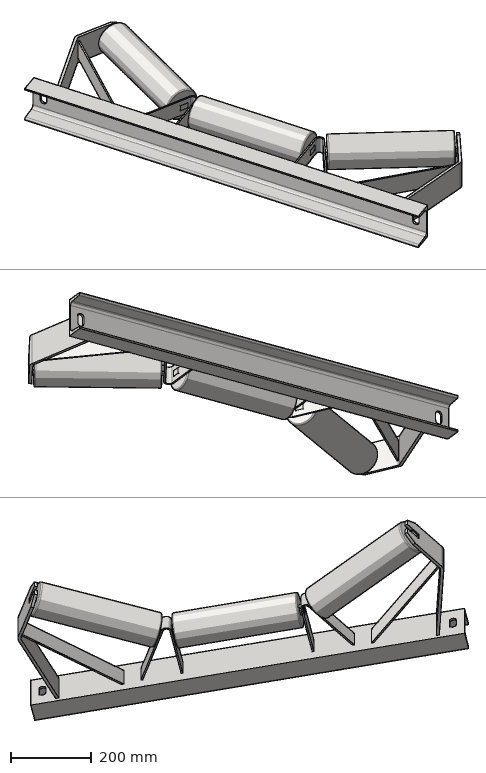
import cadquery as cq
import math


channel_length = 1100.0
channel_height = 100.0
flange_width = 50.0
web_thickness = 6.0
flange_thickness = 8.5
flange_taper = 0.08
root_radius = 8.5
toe_radius = 4.5
slot_offset = 30.0
slot_width = 18.0
slot_length = 35.0

roller_diameter = 89.0
roller_half_length = 158.0
roller_edge_radius = 3.0
shaft_radius = 13.0
tongue_width = 16.0
tongue_height = 22.0
seat_distance = 164.0
roller_axis_height = 118.0
wing_angle = 30.0
wing_center_x = 340.0
wing_center_y = 208.0

inner_width = 46.0
outer_width = 80.0
inner_thickness = 4.0
inner_bend_radius = 13.0
outer_thickness = 8.0
outer_bend_radius = 16.0
outer_leg_angle = 15.0
outer_bend_drop = 105.0
outer_tip_rise = 32.0
tip_chamfer_width = 15.0
tip_chamfer_length = 30.0
strut_thickness = 4.0
strut_width = 55.0
strut_foot_x = 317.0
strut_rise = 8.0

shaft_half_length = seat_distance + inner_thickness


def wing_point(along, across):
    """Point beside the right wing roller: `along` its axis outward, `across` it upward."""
    tilt = math.radians(wing_angle)
    x = wing_center_x + along * math.cos(tilt) - across * math.sin(tilt)
    y = wing_center_y + along * math.sin(tilt) + across * math.cos(tilt)
    return (x, y)


def on_wing(shape):
    """Move a shape from the origin, with its axis along X, onto the right wing roller's axis."""
    turned = shape.rotate((0, 0, 0), (0, 0, 1), wing_angle)
    return turned.translate((wing_center_x, wing_center_y, 0))


def across_z(outline, width):
    """Extrude a closed XY outline to both sides of Z = 0."""
    return outline.extrude(width).translate((0, 0, -width / 2))


def along_x(outline, length):
    """Extrude a closed YZ outline to both sides of X = 0."""
    return outline.extrude(length).translate((-length / 2, 0, 0))


def make_channel():
    half_height = channel_height / 2
    half_taper = flange_taper * flange_width / 2
    tip_z = half_height - flange_thickness + half_taper
    root_z = half_height - flange_thickness - half_taper + flange_taper * web_thickness
    profile = [
        (0, half_height), (-flange_width, half_height), (-flange_width, tip_z), (-web_thickness, root_z),
        (-web_thickness, -root_z), (-flange_width, -tip_z), (-flange_width, -half_height), (0, -half_height),
    ]
    channel = along_x(cq.Workplane("YZ").polyline(profile).close(), channel_length)

    for side in (1, -1):
        root_edge = cq.NearestToPointSelector((0, -web_thickness, side * root_z))
        channel = channel.edges(root_edge).fillet(root_radius)
        toe_edge = cq.NearestToPointSelector((0, -flange_width, side * tip_z))
        channel = channel.edges(toe_edge).fillet(toe_radius)

    slot_x = channel_length / 2 - slot_offset
    slots = (
        cq.Workplane("XZ")
        .pushPoints([(-slot_x, 0), (slot_x, 0)])
        .slot2D(slot_length, slot_width, 90)
        .extrude(web_thickness)
    )
    return channel.cut(slots)


def make_tongue():
    """Flat bar through the roller; its ends are the tongues that sit in the brackets."""
    return cq.Workplane("XY").box(2 * shaft_half_length, tongue_height, tongue_width)


def make_roller():
    """Roller with its shaft, centred on the origin with its axis along X."""
    shell = along_x(cq.Workplane("YZ").circle(roller_diameter / 2), 2 * roller_half_length)
    shell = shell.faces("<X or >X").edges().fillet(roller_edge_radius)
    shaft = along_x(cq.Workplane("YZ").circle(shaft_radius), 2 * seat_distance)
    return shell.union(shaft).union(make_tongue())


def make_inner_bracket():
    """Right inner bracket: a strip folded between the centre roller and the right wing roller."""
    slope = 1 / math.tan(math.radians(wing_angle))

    def folded_wedge(inset):
        """Wedge under the fold, its sides moved inward by `inset` from the roller seats."""
        left = seat_distance + inset
        seat_x, seat_y = wing_point(-seat_distance - inset, 0)
        foot_x = seat_x + seat_y / slope
        apex_y = (foot_x - left) * slope
        outline = cq.Workplane("XY").polyline([(left, 0), (foot_x, 0), (left, apex_y)]).close()
        wedge = across_z(outline, inner_width)
        return wedge.edges("|Z").edges(">Y").fillet(inner_bend_radius - inset)

    strip = folded_wedge(0).cut(folded_wedge(inner_thickness))
    center_tongue = make_tongue().translate((0, roller_axis_height, 0))
    return strip.cut(center_tongue).cut(on_wing(make_tongue()))


def outer_corner(inset):
    """Bend corner and foot X of the right outer bracket, on the surface `inset` within its outer face."""
    lean = math.tan(math.radians(outer_leg_angle))
    tilt = math.tan(math.radians(wing_angle))
    bend_x, bend_y = wing_point(seat_distance + outer_thickness, -outer_bend_drop)
    foot_x = bend_x - bend_y * lean - inset / math.cos(math.radians(outer_leg_angle))
    seat_x, seat_y = wing_point(seat_distance + outer_thickness - inset, 0)
    y = (seat_x + seat_y * tilt - foot_x) / (lean + tilt)
    return (foot_x + y * lean, y), foot_x


def make_outer_bracket():
    """Right outer bracket: a bent strip from the channel to the outer end of the right wing roller."""
    outer_bend, outer_foot_x = outer_corner(0)
    inner_bend, inner_foot_x = outer_corner(outer_thickness)
    outer_face = seat_distance + outer_thickness
    outline = [
        (outer_foot_x, 0),
        outer_bend,
        wing_point(outer_face, outer_tip_rise),
        wing_point(seat_distance, outer_tip_rise),
        inner_bend,
        (inner_foot_x, 0),
    ]
    strip = across_z(cq.Workplane("XY").polyline(outline).close(), outer_width)
    strip = strip.edges(cq.NearestToPointSelector((*outer_bend, 0))).fillet(outer_bend_radius)
    strip = strip.edges(cq.NearestToPointSelector((*inner_bend, 0))).fillet(outer_bend_radius - outer_thickness)

    half_width = outer_width / 2
    corner = cq.Workplane("YZ", origin=(seat_distance, 0, 0)).polyline([
        (outer_tip_rise, half_width),
        (outer_tip_rise, half_width - tip_chamfer_width),
        (outer_tip_rise - tip_chamfer_length, half_width),
    ]).close().extrude(outer_thickness)
    slot_depth = outer_tip_rise + tongue_height / 2
    slot = cq.Workplane("XY").box(outer_thickness, slot_depth, tongue_width, centered=(False, False, True))
    slot = slot.translate((seat_distance, -tongue_height / 2, 0))
    return strip.cut(on_wing(corner)).cut(on_wing(corner.mirror("XY"))).cut(on_wing(slot))


def make_strut(bracket):
    """Right strut: a flat brace from the channel to the outer bracket just above its bend."""
    end_x, end_y = wing_point(seat_distance + outer_thickness / 2, strut_rise - outer_bend_drop)
    slope = math.atan2(end_y, end_x - strut_foot_x)
    half_foot = strut_thickness / 2 / math.sin(slope)
    end_dx = strut_thickness / 2 * math.sin(slope)
    end_dy = strut_thickness / 2 * math.cos(slope)
    outline = [
        (strut_foot_x - half_foot, 0),
        (strut_foot_x + half_foot, 0),
        (end_x + end_dx, end_y - end_dy),
        (end_x - end_dx, end_y + end_dy),
    ]
    return across_z(cq.Workplane("XY").polyline(outline).close(), strut_width).cut(bracket)


def both_sides(body):
    """The right body and its mirror image on the left, as separate solids."""
    return [body.val(), body.mirror("YZ").val()]


channel = make_channel()
center_roller = make_roller().translate((0, roller_axis_height, 0))
right_outer_bracket = make_outer_bracket()
right_bodies = [
    on_wing(make_roller()),
    make_inner_bracket(),
    right_outer_bracket,
    make_strut(right_outer_bracket),
]
paired_bodies = [solid for body in right_bodies for solid in both_sides(body)]

result = cq.Compound.makeCompound([channel.val(), center_roller.val(), *paired_bodies])